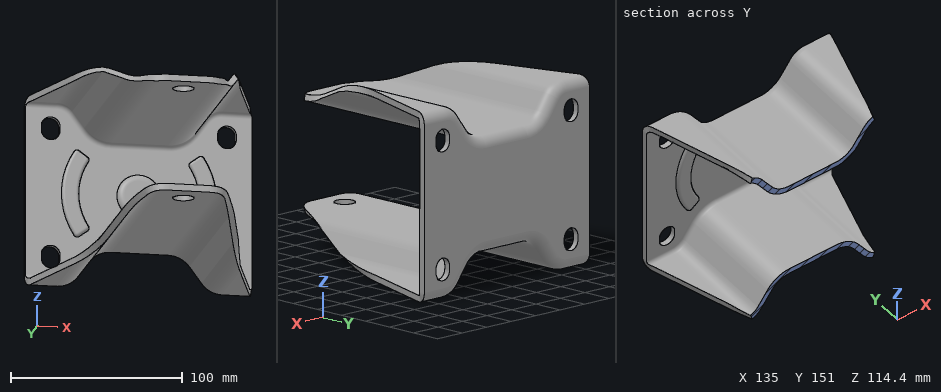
import cadquery as cq
import math


WIDTH = 135.0
LENGTH = 151.0
HEIGHT = 114.4
THICKNESS = 4.0
BEND_RADIUS = 7.0
HALF_WIDTH = WIDTH / 2

FLANGE_Z = HEIGHT / 2
WAIST_Z = 35.0
WAIST_HALF = 17.0
VALLEY_RADIUS = 15.8
CREST_RADIUS = 15.3
SLOPE_ANGLE = math.radians(53.5)
SLOPE_RISE = FLANGE_Z - WAIST_Z - (VALLEY_RADIUS + CREST_RADIUS) * (1 - math.cos(SLOPE_ANGLE))
SLOPE_RUN = SLOPE_RISE / math.tan(SLOPE_ANGLE)
SLOPE_START_X = WAIST_HALF + VALLEY_RADIUS * math.sin(SLOPE_ANGLE)
SLOPE_END_X = SLOPE_START_X + SLOPE_RUN
CREST_X = SLOPE_END_X + CREST_RADIUS * math.sin(SLOPE_ANGLE)

TIP_HALF = 20.5
TIP_RADIUS = 12.0
TAPER = (HALF_WIDTH - TIP_HALF) / LENGTH
TAPER_ANGLE = math.atan(TAPER)
TIP_TANGENT = TIP_RADIUS * math.tan((math.pi / 2 - TAPER_ANGLE) / 2)
TIP_FLAT_HALF = TIP_HALF - TIP_TANGENT
CORNER_END_X = TIP_HALF + TIP_TANGENT * math.sin(TAPER_ANGLE)

AXLE_DIAMETER = 12.5
AXLE_TO_TIP = 16.0
SLOT_WIDTH = 11.0
SLOT_LENGTH = 13.5
SLOT_X = 52.4
SLOT_Z = 38.7

BOSS_RADIUS = 13.1
BOSS_TOP_RADIUS = 9.0
BOSS_HEIGHT = 2.7
BEAD_INNER_RADIUS = 35.8
BEAD_OUTER_RADIUS = 46.1
BEAD_HALF_ANGLE = math.radians(36.0)
BEAD_HEIGHT = 2.2
BEAD_ROUNDING = 2.0

OVERRUN = 5.0
TRIM_MARGIN = 0.5
CURVE_STEPS = 8


def sheet_point(x, depth):
    """(x, z) of the upper arm section, `depth` below the outer face, along the normal at outer x."""
    if x <= WAIST_HALF:
        return x, WAIST_Z - depth
    if x >= CREST_X:
        return x, FLANGE_Z - depth
    if x < SLOPE_START_X:
        angle = math.asin((x - WAIST_HALF) / VALLEY_RADIUS)
        z = WAIST_Z + VALLEY_RADIUS * (1 - math.cos(angle))
    elif x <= SLOPE_END_X:
        angle = SLOPE_ANGLE
        valley_top = WAIST_Z + VALLEY_RADIUS * (1 - math.cos(angle))
        z = valley_top + (x - SLOPE_START_X) * math.tan(angle)
    else:
        angle = math.asin((CREST_X - x) / CREST_RADIUS)
        z = FLANGE_Z - CREST_RADIUS * (1 - math.cos(angle))
    return x + depth * math.sin(angle), z - depth * math.cos(angle)


def section_prism(depth, half_width, back_y):
    """Solid between the two arm faces at `depth`, from back_y to the arm tips."""
    valley_mid = WAIST_HALF + VALLEY_RADIUS * math.sin(SLOPE_ANGLE / 2)
    crest_mid = CREST_X - CREST_RADIUS * math.sin(SLOPE_ANGLE / 2)

    def at(x, side):
        px, pz = sheet_point(x, depth)
        return side * px, pz

    upper_half = (
        cq.Workplane("XZ", origin=(0, back_y, 0))
        .moveTo(-half_width, 0)
        .lineTo(-half_width, FLANGE_Z - depth)
        .lineTo(*at(CREST_X, -1))
        .threePointArc(at(crest_mid, -1), at(SLOPE_END_X, -1))
        .lineTo(*at(SLOPE_START_X, -1))
        .threePointArc(at(valley_mid, -1), at(WAIST_HALF, -1))
        .lineTo(*at(WAIST_HALF, 1))
        .threePointArc(at(valley_mid, 1), at(SLOPE_START_X, 1))
        .lineTo(*at(SLOPE_END_X, 1))
        .threePointArc(at(crest_mid, 1), at(CREST_X, 1))
        .lineTo(half_width, FLANGE_Z - depth)
        .lineTo(half_width, 0)
        .close()
        .extrude(LENGTH + back_y)
    )
    return upper_half.union(upper_half.mirror("XY"))


def make_bent_sheet():
    """Untrimmed fork: the outer body less the space between the arms, both rounded at the bend."""
    outer = section_prism(0, HALF_WIDTH, 0)
    outer = outer.faces(">Y").edges("not |Z").fillet(BEND_RADIUS)
    inner = section_prism(THICKNESS, HALF_WIDTH + OVERRUN, -THICKNESS)
    inner = inner.faces(">Y").edges("not |Z").fillet(BEND_RADIUS - THICKNESS)
    return outer.cut(inner)


def trim_y(x):
    """Y of the trimmed arm edge at outer-face position x: straight taper, then the tip corner."""
    if x >= CORNER_END_X:
        return -(HALF_WIDTH - x) / TAPER
    offset = x - TIP_FLAT_HALF
    return -LENGTH + TIP_RADIUS - math.sqrt(TIP_RADIUS ** 2 - offset ** 2)


def arm_edge_point(x, depth):
    px, pz = sheet_point(x, depth)
    return cq.Vector(px, trim_y(x), pz)


def bend_edge_point(angle, depth):
    """Point on the trimmed edge within the bend; angle 0 is at the base, 90 degrees at the arm."""
    x = HALF_WIDTH - TAPER * BEND_RADIUS * (1 - math.cos(angle))
    radius = BEND_RADIUS - depth
    y = -BEND_RADIUS + radius * math.cos(angle)
    z = FLANGE_Z - BEND_RADIUS + radius * math.sin(angle)
    return cq.Vector(x, y, z)


def trim_cutter(edge_point, start, end, direction):
    """Sweep of a trim face, ruled square through the sheet between two stations."""
    fractions = [i / CURVE_STEPS for i in range(CURVE_STEPS + 1)]
    rails = []
    for depth in (-TRIM_MARGIN, THICKNESS + TRIM_MARGIN):
        points = [edge_point(start + (end - start) * f, depth) for f in fractions]
        rails.append(cq.Edge.makeSpline(points, parameters=fractions))
    face = cq.Face.makeRuledSurface(*rails)
    return cq.Workplane(cq.Solid.extrudeLinear(face, cq.Vector(*direction)))


def trim_arms(body):
    """Cut all four tapered arm edges square to the sheet."""
    bend_end_x = HALF_WIDTH - TAPER * BEND_RADIUS
    stations = [bend_end_x, CREST_X, SLOPE_END_X, SLOPE_START_X, CORNER_END_X, WAIST_HALF, TIP_FLAT_HALF]
    cutters = [trim_cutter(bend_edge_point, 0, math.pi / 2, (OVERRUN, 0, 0))]
    for start, end in zip(stations, stations[1:]):
        cutters.append(trim_cutter(arm_edge_point, start, end, (0, -LENGTH, 0)))
    side_strip = cq.Workplane("XY").box(OVERRUN, LENGTH, BEND_RADIUS, centered=False)
    cutters.append(side_strip.translate((bend_end_x, -BEND_RADIUS - LENGTH, FLANGE_Z - BEND_RADIUS)))
    for cutter in cutters:
        for piece in (cutter, cutter.mirror("XY")):
            body = body.cut(piece).cut(piece.mirror("YZ"))
    return body


def cut_axle_holes(body):
    drill = (
        cq.Workplane("XY", origin=(0, AXLE_TO_TIP - LENGTH, 0))
        .circle(AXLE_DIAMETER / 2)
        .extrude(HEIGHT, both=True)
    )
    return body.cut(drill)


def cut_mounting_slots(body):
    slots = (
        cq.Workplane("XZ")
        .rect(2 * SLOT_X, 2 * SLOT_Z, forConstruction=True)
        .vertices()
        .slot2D(SLOT_LENGTH, SLOT_WIDTH, 90)
        .extrude(THICKNESS)
    )
    return body.cut(slots)


def make_boss():
    """Round boss whose rim is an arc tangent to its flat top."""
    rim_width = BOSS_RADIUS - BOSS_TOP_RADIUS
    rim_radius = (rim_width ** 2 + BOSS_HEIGHT ** 2) / (2 * BOSS_HEIGHT)
    half_sweep = math.asin(rim_width / rim_radius) / 2
    top_y = -THICKNESS - BOSS_HEIGHT
    rim_mid = (
        BOSS_TOP_RADIUS + rim_radius * math.sin(half_sweep),
        top_y + rim_radius * (1 - math.cos(half_sweep)),
    )
    return (
        cq.Workplane("XY")
        .moveTo(0, -THICKNESS)
        .lineTo(0, top_y)
        .lineTo(BOSS_TOP_RADIUS, top_y)
        .threePointArc(rim_mid, (BOSS_RADIUS, -THICKNESS))
        .close()
        .revolve(360, (0, 0, 0), (0, 1, 0))
    )


def make_bead():
    """Curved stiffening bead on the +X side, concentric with the boss, with rounded corners and top edges."""
    def polar(radius, angle):
        return radius * math.cos(angle), radius * math.sin(angle)

    return (
        cq.Workplane("XZ", origin=(0, -THICKNESS, 0))
        .moveTo(*polar(BEAD_INNER_RADIUS, -BEAD_HALF_ANGLE))
        .lineTo(*polar(BEAD_OUTER_RADIUS, -BEAD_HALF_ANGLE))
        .threePointArc((BEAD_OUTER_RADIUS, 0), polar(BEAD_OUTER_RADIUS, BEAD_HALF_ANGLE))
        .lineTo(*polar(BEAD_INNER_RADIUS, BEAD_HALF_ANGLE))
        .threePointArc((BEAD_INNER_RADIUS, 0), polar(BEAD_INNER_RADIUS, -BEAD_HALF_ANGLE))
        .close()
        .extrude(BEAD_HEIGHT)
        .edges("not >Y")
        .fillet(BEAD_ROUNDING)
    )


fork = trim_arms(make_bent_sheet())
fork = cut_axle_holes(fork)
fork = cut_mounting_slots(fork)
bead = make_bead()
result = fork.union(make_boss()).union(bead).union(bead.mirror("YZ"))